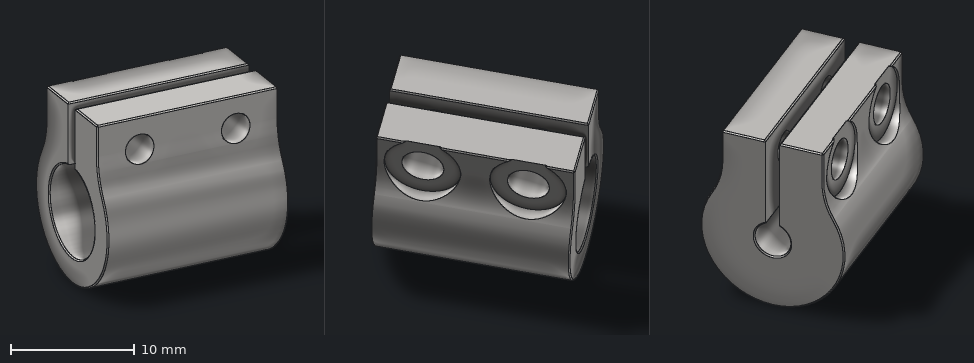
import cadquery as cq
import math

length = 16.57
body_radius = 6.35
total_height = 15.82
top_z = total_height - body_radius
edge_chamfer = 0.12

neck_half_width = 4.47
blend_radius = 6.5
slot_width = 1.25

bore_radius = 4.0
bore_depth = 8.28
small_bore_radius = 1.57
drill_half_angle = math.radians(59)

screw_z = 6.63
screw_spacing = 8.78
head_diameter = 6.36
head_seat_x = -4.28
clearance_diameter = 3.48
threaded_diameter = 2.6

front_y = -length / 2
back_y = length / 2


def make_body():
    """Round body with a neck, chamfered around both ends and along the top."""
    blend_x = neck_half_width + blend_radius
    center_distance = body_radius + blend_radius
    blend_z = math.sqrt(center_distance**2 - blend_x**2)
    joint_x = blend_x * body_radius / center_distance
    joint_z = blend_z * body_radius / center_distance
    half_sweep = math.atan2(blend_z, blend_x) / 2
    middle_x = blend_x - blend_radius * math.cos(half_sweep)
    middle_z = blend_z - blend_radius * math.sin(half_sweep)
    body = (
        cq.Workplane("XZ", origin=(0, back_y, 0))
        .moveTo(-neck_half_width, top_z)
        .lineTo(neck_half_width, top_z)
        .lineTo(neck_half_width, blend_z)
        .threePointArc((middle_x, middle_z), (joint_x, joint_z))
        .threePointArc((0, -body_radius), (-joint_x, joint_z))
        .threePointArc((-middle_x, middle_z), (-neck_half_width, blend_z))
        .close()
        .extrude(length)
    )
    return body.edges("<Y or >Y or (|Y and >Z)").chamfer(edge_chamfer)


def make_bore():
    """Revolved cutter: main bore, conical shoulder and small bore, chamfered at both mouths."""
    cone_depth = (bore_radius - small_bore_radius) / math.tan(drill_half_angle)
    shoulder_y = front_y + bore_depth
    return (
        cq.Workplane("XY")
        .moveTo(0, front_y)
        .lineTo(bore_radius + edge_chamfer, front_y)
        .lineTo(bore_radius, front_y + edge_chamfer)
        .lineTo(bore_radius, shoulder_y)
        .lineTo(small_bore_radius, shoulder_y + cone_depth)
        .lineTo(small_bore_radius, back_y - edge_chamfer)
        .lineTo(small_bore_radius + edge_chamfer, back_y)
        .lineTo(0, back_y)
        .close()
        .revolve(360, (0, 0, 0), (0, 1, 0))
    )


def make_slot():
    """Slot from the bore up through the top, with chamfered upper edges."""
    half_width = slot_width / 2
    mouth_half_width = half_width + edge_chamfer
    return (
        cq.Workplane("XZ", origin=(0, back_y, 0))
        .moveTo(-half_width, 0)
        .lineTo(half_width, 0)
        .lineTo(half_width, top_z - edge_chamfer)
        .lineTo(mouth_half_width, top_z)
        .lineTo(-mouth_half_width, top_z)
        .lineTo(-half_width, top_z - edge_chamfer)
        .close()
        .extrude(length)
    )


def cylinder_along_x(diameter, start_x, end_x, y):
    """Cylinder at screw height between two X positions."""
    return (
        cq.Workplane("YZ", origin=(start_x, y, screw_z))
        .circle(diameter / 2)
        .extrude(end_x - start_x)
    )


def make_screw_hole(y):
    """Head recess and clearance hole on the -X side, threaded-size hole on the +X side."""
    recess = cylinder_along_x(head_diameter, -body_radius, head_seat_x, y)
    clearance = cylinder_along_x(clearance_diameter, head_seat_x, 0, y)
    threaded = cylinder_along_x(threaded_diameter, 0, body_radius, y)
    return recess.union(clearance).union(threaded)


result = make_body().cut(make_bore()).cut(make_slot())
for screw_y in (-screw_spacing / 2, screw_spacing / 2):
    result = result.cut(make_screw_hole(screw_y))